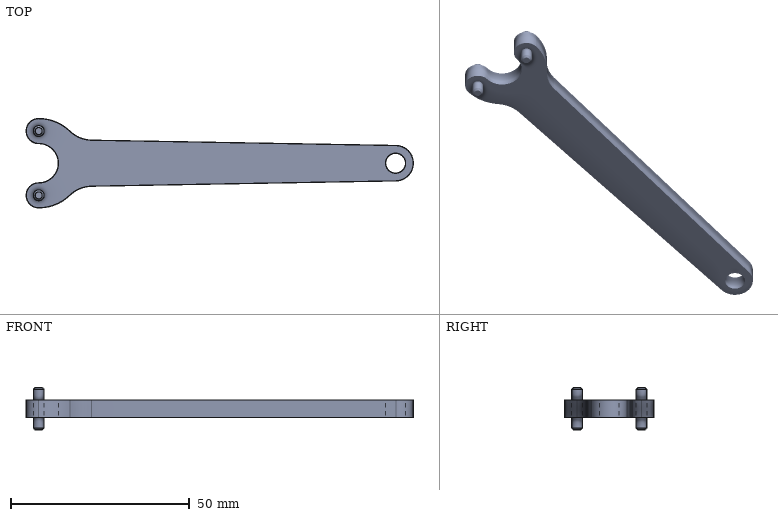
import cadquery as cq
import math

total_length = 108.3
head_width = 25.0
plate_thickness = 5.0

pin_offset = 9.0
neck_fillet_radius = 9.0
head_radius = head_width / 2
tip_radius = head_radius - pin_offset
notch_radius = pin_offset - tip_radius

taper_angle = math.radians(1.0)
end_radius = 5.0
hanging_hole_diameter = 5.5
end_center_x = total_length - tip_radius - end_radius

pin_diameter = 3.0
pin_length = 11.8
pin_chamfer = 0.5


def point_on_circle(center, radius, angle):
    return center[0] + radius * math.cos(angle), center[1] + radius * math.sin(angle)


def mirrored(point):
    return point[0], -point[1]


def neck_fillet_center():
    """Center of the arc tangent to both the head circle and the upper handle edge."""
    reach = head_radius + neck_fillet_radius
    across = end_center_x * math.sin(taper_angle) + end_radius + neck_fillet_radius
    along = math.sqrt(reach**2 - across**2)
    edge_normal_angle = math.pi / 2 - taper_angle
    return (
        along * math.cos(taper_angle) + across * math.cos(edge_normal_angle),
        -along * math.sin(taper_angle) + across * math.sin(edge_normal_angle),
    )


def make_wrench():
    head_center = (0, 0)
    edge_normal_angle = math.pi / 2 - taper_angle
    fillet_center = neck_fillet_center()
    head_to_fillet_angle = math.atan2(fillet_center[1], fillet_center[0])
    fillet_start_angle = head_to_fillet_angle - math.pi
    fillet_end_angle = edge_normal_angle - math.pi
    fillet_middle_angle = (fillet_start_angle + fillet_end_angle) / 2

    notch_end = (0, notch_radius)
    tip_middle = (-tip_radius, pin_offset)
    head_top = (0, head_radius)
    head_middle = point_on_circle(head_center, head_radius, (math.pi / 2 + head_to_fillet_angle) / 2)
    fillet_start = point_on_circle(head_center, head_radius, head_to_fillet_angle)
    fillet_middle = point_on_circle(fillet_center, neck_fillet_radius, fillet_middle_angle)
    fillet_end = point_on_circle(fillet_center, neck_fillet_radius, fillet_end_angle)
    handle_end = point_on_circle((end_center_x, 0), end_radius, edge_normal_angle)

    outline = (
        cq.Workplane("XY", origin=(0, 0, -plate_thickness / 2))
        .moveTo(*notch_end)
        .threePointArc(tip_middle, head_top)
        .threePointArc(head_middle, fillet_start)
        .threePointArc(fillet_middle, fillet_end)
        .lineTo(*handle_end)
        .threePointArc((end_center_x + end_radius, 0), mirrored(handle_end))
        .lineTo(*mirrored(fillet_end))
        .threePointArc(mirrored(fillet_middle), mirrored(fillet_start))
        .threePointArc(mirrored(head_middle), mirrored(head_top))
        .threePointArc(mirrored(tip_middle), mirrored(notch_end))
        .threePointArc((notch_radius, 0), notch_end)
        .close()
    )
    plate = outline.extrude(plate_thickness)

    hanging_hole = (
        cq.Workplane("XY")
        .center(end_center_x, 0)
        .circle(hanging_hole_diameter / 2)
        .extrude(plate_thickness, both=True)
    )
    pin_holes = (
        cq.Workplane("XY")
        .pushPoints([(0, -pin_offset), (0, pin_offset)])
        .circle(pin_diameter / 2)
        .extrude(plate_thickness, both=True)
    )
    return plate.cut(hanging_hole).cut(pin_holes)


def make_pin(y):
    return (
        cq.Workplane("XY")
        .center(0, y)
        .circle(pin_diameter / 2)
        .extrude(pin_length / 2, both=True)
        .faces("<Z or >Z")
        .chamfer(pin_chamfer)
    )


wrench = make_wrench()
pins = [make_pin(y) for y in (-pin_offset, pin_offset)]

result = cq.Compound.makeCompound([wrench.solids().val(), *[pin.solids().val() for pin in pins]])